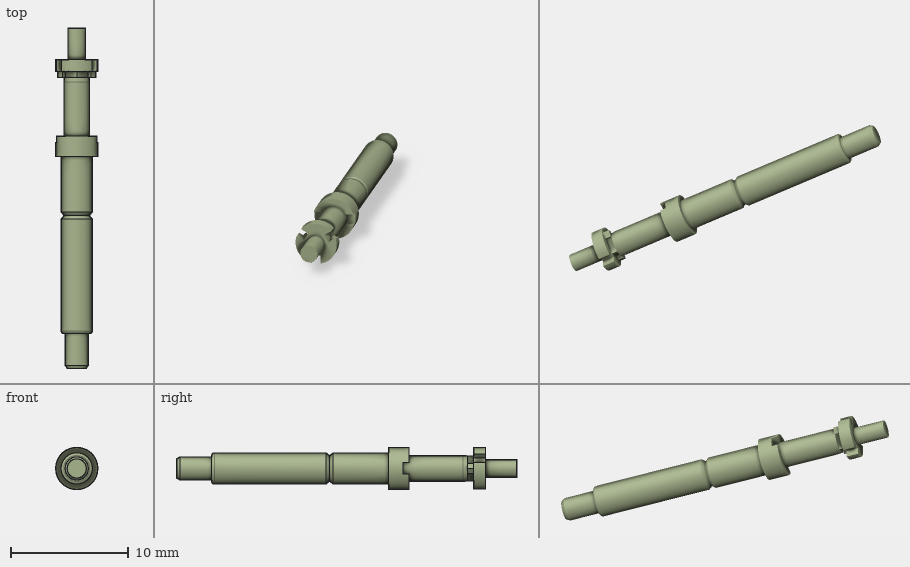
import cadquery as cq
import math

TIP_BEVEL_END = 0.3
BODY_FRONT = 3.0
GROOVE_FRONT = 12.73
GROOVE_BOTTOM = 13.05
GROOVE_REAR = 13.35
COLLAR_FRONT = 18.07
COLLAR_REAR = 19.8
NECK_BEVEL_START = 24.42
NECK_REAR = 24.8
FLANGE_FRONT = 25.32
FLANGE_REAR = 26.33
OVERALL_LENGTH = 29.0

TIP_RADIUS = 1.0
TIP_BEVEL = 0.17
BODY_RADIUS = 1.33
BODY_FILLET = 0.23
GROOVE_RADIUS = 1.07
NECK_RADIUS = 1.1
NECK_BEVEL = 0.03
PIN_RADIUS = 0.75
COLLAR_RADIUS = 1.8

COLLAR_SLOT_WIDTH = 1.0
COLLAR_SLOT_DEPTH = 0.52

NOTCH_COUNT = 3
NOTCH_START_ANGLE = 30
NOTCH_WIDTH = 0.8
NOTCH_FLOOR = 1.05

STUD_CENTRE = 1.22
STUD_SIDE = 0.58


def turned(profile):
    """Revolve a (radius, y) outline about the Y axis."""
    points = [(0, profile[0][1])] + profile + [(0, profile[-1][1])]
    return cq.Workplane("YZ").polyline([(y, radius) for radius, y in points]).close().revolve(
        360, (0, 0, 0), (1, 0, 0)
    )


def box_between(x_range, y_range, z_range):
    """Box filling the given ranges along X, Y and Z."""
    sizes = [high - low for low, high in (x_range, y_range, z_range)]
    corner = (x_range[0], y_range[0], z_range[0])
    return cq.Workplane("XY").box(*sizes, centered=False).translate(corner)


def diamond_bar(centre_x, side, y_front, y_rear):
    """Square bar along Y, turned so that its corners point along X and Z."""
    half = side / 2
    bar = box_between((-half, half), (y_front, y_rear), (-half, half))
    return bar.rotate((0, 0, 0), (0, 1, 0), 45).translate((centre_x, 0, 0))


def tip():
    """Front tip with a bevelled end."""
    return turned([
        (TIP_RADIUS - TIP_BEVEL, 0),
        (TIP_RADIUS, TIP_BEVEL_END),
        (TIP_RADIUS, BODY_FRONT),
    ])


def front_body():
    """Main cylinder from its rounded front rim to the groove."""
    cylinder = turned([(BODY_RADIUS, BODY_FRONT), (BODY_RADIUS, GROOVE_FRONT)])
    return cylinder.faces("<Y").edges().fillet(BODY_FILLET)


def rear_body():
    """V-groove, rear part of the main cylinder, collar and neck."""
    return turned([
        (BODY_RADIUS, GROOVE_FRONT),
        (GROOVE_RADIUS, GROOVE_BOTTOM),
        (BODY_RADIUS, GROOVE_REAR),
        (BODY_RADIUS, COLLAR_FRONT),
        (COLLAR_RADIUS, COLLAR_FRONT),
        (COLLAR_RADIUS, COLLAR_REAR),
        (NECK_RADIUS, COLLAR_REAR),
        (NECK_RADIUS, NECK_BEVEL_START),
        (NECK_RADIUS - NECK_BEVEL, NECK_REAR),
    ])


def collar_slots():
    """Material removed beside the neck, leaving the neck itself whole."""
    floor = COLLAR_REAR - COLLAR_SLOT_DEPTH
    half_width = COLLAR_SLOT_WIDTH / 2
    slot = box_between((-COLLAR_RADIUS, COLLAR_RADIUS), (floor, COLLAR_REAR), (-half_width, half_width))
    return slot.cut(turned([(NECK_RADIUS, floor), (NECK_RADIUS, COLLAR_REAR)]))


def notched_flange():
    """Rear flange with notches through its full thickness, and the pin behind it."""
    flange = turned([
        (COLLAR_RADIUS, FLANGE_FRONT),
        (COLLAR_RADIUS, FLANGE_REAR),
        (PIN_RADIUS, FLANGE_REAR),
        (PIN_RADIUS, OVERALL_LENGTH),
    ])
    half_width = NOTCH_WIDTH / 2
    notch = box_between(
        (NOTCH_FLOOR, COLLAR_RADIUS), (FLANGE_FRONT, FLANGE_REAR), (-half_width, half_width)
    )
    for index in range(NOTCH_COUNT):
        angle = NOTCH_START_ANGLE + index * 360 / NOTCH_COUNT
        flange = flange.cut(notch.rotate((0, 0, 0), (0, 1, 0), -angle))
    return flange


result = tip().union(front_body()).union(rear_body().cut(collar_slots()))

core_side = (NECK_RADIUS - NECK_BEVEL) * math.sqrt(2)
result = result.union(diamond_bar(0, core_side, NECK_REAR, FLANGE_FRONT))
result = result.union(notched_flange())
for stud_x in (-STUD_CENTRE, STUD_CENTRE):
    result = result.union(diamond_bar(stud_x, STUD_SIDE, NECK_REAR, FLANGE_FRONT))